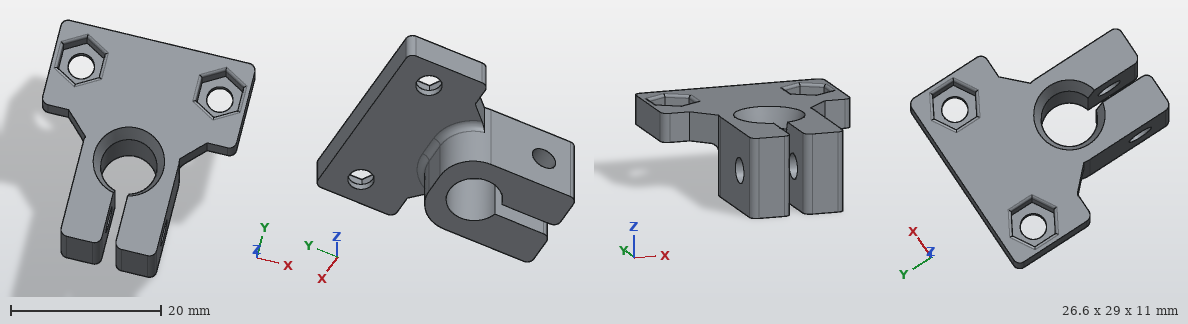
import cadquery as cq
import math

HEIGHT = 11.0
FRONT_REACH = 12.0
BACK_REACH = 17.0
EDGE_RADIUS = 1.0

FLANGE_WIDTH = 26.6
FLANGE_LENGTH = 12.0
FLANGE_THICKNESS = 4.0
FLANGE_BOTTOM = HEIGHT - FLANGE_THICKNESS
FLANGE_FRONT = BACK_REACH - FLANGE_LENGTH

BODY_WIDTH = 13.1
BODY_BACK = 6.0
BODY_BACK_RADIUS = 5.0
SLOT_WIDTH = 1.95

BORE_RADIUS = 3.75
CONE_RADIUS = 4.75
CONE_DEPTH = 2.7

SCREW_DIAMETER = 3.5
MOUNT_X = 9.5
MOUNT_Y = 12.0
NUT_FLATS = 5.7
NUT_DEPTH = 3.0
NUT_LIP_RADIUS = 0.4
NUT_SIDES = 6
NUT_TURN = 180 / NUT_SIDES
NUT_CORNERS = NUT_FLATS / math.cos(math.radians(NUT_TURN))

CLAMP_HOLE_Y = -7.0
CLAMP_HOLE_Z = HEIGHT / 2

PICK_MARGIN = 0.01


def make_body():
    """Clamp body: a block with generously rounded back corners."""
    length = FRONT_REACH + BODY_BACK
    center_y = (BODY_BACK - FRONT_REACH) / 2
    block = cq.Workplane("XY").center(0, center_y).rect(BODY_WIDTH, length).extrude(HEIGHT)
    return block.edges("|Z and >Y").fillet(BODY_BACK_RADIUS)


def make_flange():
    """Rounded plate with a 45 degree gusset that tapers down into the body."""
    center_y = (FLANGE_FRONT + BACK_REACH) / 2
    base = cq.Workplane("XY").workplane(offset=FLANGE_BOTTOM)
    plate = base.center(0, center_y).rect(FLANGE_WIDTH, FLANGE_LENGTH).extrude(FLANGE_THICKNESS)
    plate = plate.edges("|Z").fillet(EDGE_RADIUS)
    gusset_outline = [
        (-MOUNT_X, FLANGE_FRONT),
        (0, FLANGE_FRONT - MOUNT_X),
        (MOUNT_X, FLANGE_FRONT),
    ]
    gusset = base.polyline(gusset_outline).close().extrude(FLANGE_THICKNESS)
    return plate.union(gusset)


def fillet_under_flange(part):
    """Round the inside corner where the underside of the flange meets the body."""
    half_width = BODY_WIDTH / 2 + PICK_MARGIN
    corner = cq.selectors.BoxSelector(
        (-half_width, 0, FLANGE_BOTTOM - PICK_MARGIN),
        (half_width, BODY_BACK + PICK_MARGIN, FLANGE_BOTTOM + PICK_MARGIN),
        boundingbox=True,
    )
    return part.edges(corner).fillet(EDGE_RADIUS)


def cut_slot(part):
    """Split the front of the body into two legs and round their corners."""
    slot = cq.Workplane("XY").center(0, -FRONT_REACH / 2).rect(SLOT_WIDTH, FRONT_REACH).extrude(HEIGHT)
    return part.cut(slot).faces("<Y").edges("|Z").fillet(EDGE_RADIUS)


def make_bore():
    """Through bore and its conical lead-in at the top."""
    profile = [
        (0, 0),
        (BORE_RADIUS, 0),
        (BORE_RADIUS, HEIGHT - CONE_DEPTH),
        (CONE_RADIUS, HEIGHT),
        (0, HEIGHT),
    ]
    return cq.Workplane("XZ").polyline(profile).close().revolve(360, (0, 0), (0, 1))


def make_mount_cutter(x):
    """Screw hole and hexagonal nut pocket with a rounded lip."""
    screw = cq.Workplane("XY").center(x, MOUNT_Y).circle(SCREW_DIAMETER / 2).extrude(HEIGHT)
    floor = cq.Workplane("XY", origin=(x, MOUNT_Y, HEIGHT - NUT_DEPTH))
    pocket = floor.transformed(rotate=(0, 0, NUT_TURN)).polygon(NUT_SIDES, NUT_CORNERS).extrude(NUT_DEPTH)
    return screw.union(pocket)


def round_nut_lips(part):
    """Round the top rims of the nut pockets."""
    half_flats = NUT_FLATS / 2 + PICK_MARGIN
    half_corners = NUT_CORNERS / 2 + PICK_MARGIN
    for x in (-MOUNT_X, MOUNT_X):
        rim = cq.selectors.BoxSelector(
            (x - half_flats, MOUNT_Y - half_corners, HEIGHT - PICK_MARGIN),
            (x + half_flats, MOUNT_Y + half_corners, HEIGHT + PICK_MARGIN),
            boundingbox=True,
        )
        part = part.edges(rim).fillet(NUT_LIP_RADIUS)
    return part


def make_clamp_hole():
    """Cross hole for the clamping screw."""
    plane = cq.Workplane("YZ").center(CLAMP_HOLE_Y, CLAMP_HOLE_Z)
    return plane.circle(SCREW_DIAMETER / 2).extrude(BODY_WIDTH, both=True)


part = fillet_under_flange(make_body().union(make_flange()))
part = cut_slot(part).cut(make_bore()).cut(make_clamp_hole())
for mount_x in (-MOUNT_X, MOUNT_X):
    part = part.cut(make_mount_cutter(mount_x))
result = round_nut_lips(part)